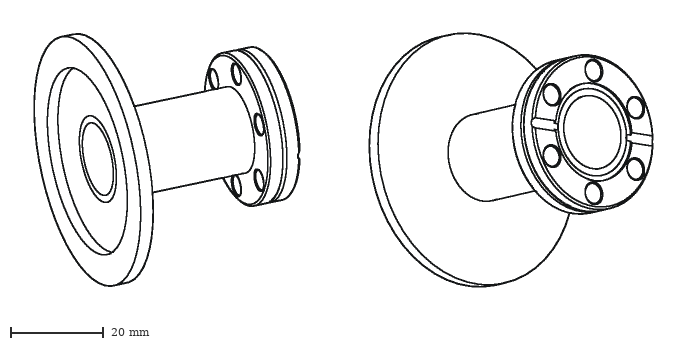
import cadquery as cq
import math

overall_length = 43.0

tube_diameter = 19.1
bore_diameter = 16.0

clamp_diameter = 55.0
clamp_thickness = 5.0
clamp_rim_thickness = 3.0
clamp_recess_diameter = 41.2
clamp_recess_depth = 2.5
clamp_taper_angle = 15.0

bolted_diameter = 33.8
bolted_thickness = 7.6
bolted_back_y = overall_length - bolted_thickness
gasket_recess_diameter = 21.4
gasket_recess_depth = 0.5
chamfer_radial = 0.5
face_chamfer_length = 0.5
back_chamfer_length = 0.4
rim_groove_width = 0.95
rim_groove_depth = 0.35

bolt_count = 6
bolt_circle_diameter = 27.0
bolt_hole_diameter = 4.4
bolt_hole_chamfer = 0.25
first_bolt_angle = 30.0

leak_groove_radius = 1.25
leak_groove_depth = 0.7

tube_start_y = clamp_recess_depth
tube_end_y = overall_length - gasket_recess_depth


def cylinder(diameter, start_y, end_y):
    """Solid cylinder on the Y axis between two Y positions."""
    return (
        cq.Workplane("XZ", origin=(0, start_y, 0))
        .circle(diameter / 2)
        .extrude(start_y - end_y)
    )


def revolve_about_y(profile):
    """Full turn about the Y axis of a closed profile drawn with X as the radius."""
    return profile.close().revolve(360, (0, 0, 0), (0, 1, 0))


def make_tube():
    outside = cylinder(tube_diameter, tube_start_y, tube_end_y)
    return outside.cut(cylinder(bore_diameter, tube_start_y, tube_end_y))


def make_clamp_flange():
    rim_radius = clamp_diameter / 2
    taper_height = clamp_thickness - clamp_rim_thickness
    back_radius = rim_radius - taper_height / math.tan(math.radians(clamp_taper_angle))
    disc = revolve_about_y(
        cq.Workplane("XY")
        .moveTo(0, 0)
        .lineTo(rim_radius, 0)
        .lineTo(rim_radius, clamp_rim_thickness)
        .lineTo(back_radius, clamp_thickness)
        .lineTo(0, clamp_thickness)
    )
    recess = cylinder(clamp_recess_diameter, 0, clamp_recess_depth)
    tube_hole = cylinder(tube_diameter, 0, clamp_thickness)
    return disc.cut(recess).cut(tube_hole)


def make_bolted_disc():
    """Disc with chamfered edges and a rounded groove at the middle of its rim."""
    rim_radius = bolted_diameter / 2
    edge_radius = rim_radius - chamfer_radial
    middle_y = bolted_back_y + bolted_thickness / 2
    half_groove = rim_groove_width / 2
    return revolve_about_y(
        cq.Workplane("XY")
        .moveTo(0, bolted_back_y)
        .lineTo(edge_radius, bolted_back_y)
        .lineTo(rim_radius, bolted_back_y + back_chamfer_length)
        .lineTo(rim_radius, middle_y - half_groove)
        .threePointArc((rim_radius - rim_groove_depth, middle_y), (rim_radius, middle_y + half_groove))
        .lineTo(rim_radius, overall_length - face_chamfer_length)
        .lineTo(edge_radius, overall_length)
        .lineTo(0, overall_length)
    )


def make_bolt_holes():
    """Through holes, each flared by a small chamfer at both faces of the flange."""
    hole_radius = bolt_hole_diameter / 2
    flare_radius = hole_radius + bolt_hole_chamfer
    hole = revolve_about_y(
        cq.Workplane("XY")
        .moveTo(0, bolted_back_y)
        .lineTo(flare_radius, bolted_back_y)
        .lineTo(hole_radius, bolted_back_y + bolt_hole_chamfer)
        .lineTo(hole_radius, overall_length - bolt_hole_chamfer)
        .lineTo(flare_radius, overall_length)
        .lineTo(0, overall_length)
    ).translate((bolt_circle_diameter / 2, 0, 0))
    holes = cq.Workplane("XY")
    for index in range(bolt_count):
        angle = first_bolt_angle + index * 360 / bolt_count
        holes = holes.add(hole.rotate((0, 0, 0), (0, 1, 0), angle))
    return holes.combine()


def make_leak_groove():
    axis_y = overall_length + leak_groove_radius - leak_groove_depth
    return (
        cq.Workplane("YZ")
        .center(axis_y, 0)
        .circle(leak_groove_radius)
        .extrude(bolted_diameter / 2, both=True)
    )


def make_bolted_flange():
    gasket_recess = cylinder(gasket_recess_diameter, tube_end_y, overall_length)
    tube_hole = cylinder(tube_diameter, bolted_back_y, overall_length)
    return (
        make_bolted_disc()
        .cut(gasket_recess)
        .cut(tube_hole)
        .cut(make_bolt_holes())
        .cut(make_leak_groove())
    )


tube = make_tube()
clamp_flange = make_clamp_flange()
bolted_flange = make_bolted_flange()

result = cq.Compound.makeCompound([tube.val(), clamp_flange.val(), bolted_flange.val()])